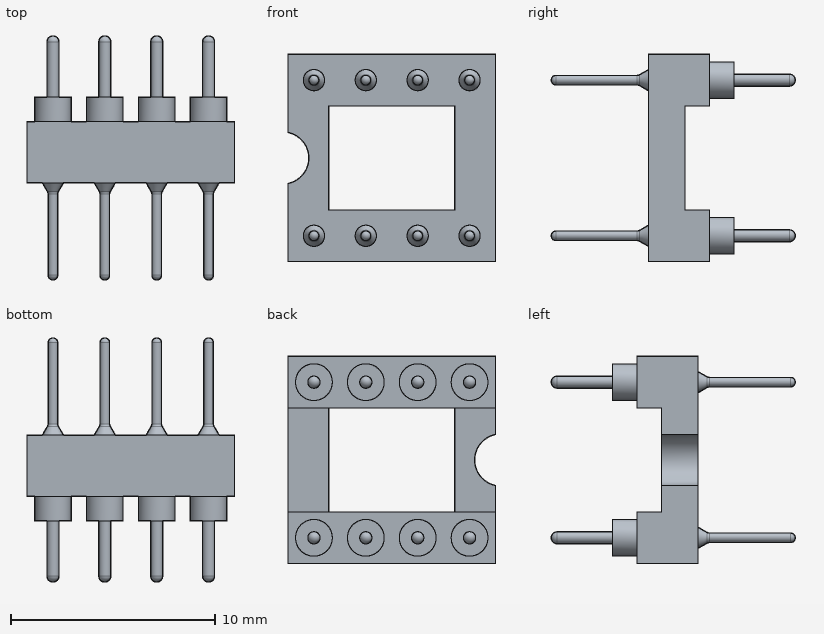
import cadquery as cq
import math

PITCH = 2.54
PINS_PER_ROW = 4
ROW_SPACING = 3 * PITCH

FRAME_SIZE = PINS_PER_ROW * PITCH
FRAME_DEPTH = 3.0
BRIDGE_DEPTH = 1.8
RAIL_HEIGHT = PITCH
RAIL_GAP = FRAME_SIZE - 2 * RAIL_HEIGHT
BRIDGE_WIDTH = 2.0
WINDOW_WIDTH = FRAME_SIZE - 2 * BRIDGE_WIDTH
NOTCH_RADIUS = PITCH / 2
NOTCH_DEPTH = 0.4 * PITCH

COLLAR_RADIUS = 0.9
COLLAR_LENGTH = 1.2
REAR_LEAD_RADIUS = 0.3
REAR_LEAD_LENGTH = 3.0

FRONT_LEAD_RADIUS = 0.24
CONE_RADIUS = 0.52
CONE_HALF_ANGLE = math.radians(30)
NECK_BLEND_RADIUS = 0.25
FRONT_REACH = 4.76

COLLAR_END = FRAME_DEPTH + COLLAR_LENGTH
REAR_END = COLLAR_END + REAR_LEAD_LENGTH


def box_from_front(width, depth, height):
    """Box centred in X and Z whose front face lies at Y = 0."""
    return cq.Workplane("XY").box(width, depth, height, centered=(True, False, True))


def make_frame():
    """Two full-depth rails joined by shallower bridges, with a key notch on the -X side."""
    frame = box_from_front(FRAME_SIZE, FRAME_DEPTH, FRAME_SIZE)
    rear_channel = box_from_front(FRAME_SIZE, FRAME_DEPTH - BRIDGE_DEPTH, RAIL_GAP)
    window = box_from_front(WINDOW_WIDTH, FRAME_DEPTH, RAIL_GAP)
    notch_center_x = -FRAME_SIZE / 2 + NOTCH_DEPTH - NOTCH_RADIUS
    notch = (
        cq.Workplane("XZ")
        .center(notch_center_x, 0)
        .circle(NOTCH_RADIUS)
        .extrude(-FRAME_DEPTH)
    )
    return frame.cut(rear_channel.translate((0, BRIDGE_DEPTH, 0))).cut(window).cut(notch)


def make_pin():
    """One pin on the Y axis, revolved from a half profile of (radius, Y) points."""
    front_bend = FRONT_LEAD_RADIUS * math.sqrt(0.5)
    rear_bend = REAR_LEAD_RADIUS * math.sqrt(0.5)
    front_arc_center = -FRONT_REACH + FRONT_LEAD_RADIUS
    rear_arc_center = REAR_END - REAR_LEAD_RADIUS

    cone_length = (CONE_RADIUS - FRONT_LEAD_RADIUS) / math.tan(CONE_HALF_ANGLE)
    half_angle = CONE_HALF_ANGLE / 2
    neck_start = -cone_length - NECK_BLEND_RADIUS * math.tan(half_angle)

    def neck_point(angle):
        return (
            FRONT_LEAD_RADIUS + NECK_BLEND_RADIUS * (1 - math.cos(angle)),
            neck_start + NECK_BLEND_RADIUS * math.sin(angle),
        )

    front_tip_middle = (front_bend, front_arc_center - front_bend)
    rear_tip_middle = (rear_bend, rear_arc_center + rear_bend)
    return (
        cq.Workplane("XY")
        .moveTo(0, -FRONT_REACH)
        .threePointArc(front_tip_middle, (FRONT_LEAD_RADIUS, front_arc_center))
        .lineTo(FRONT_LEAD_RADIUS, neck_start)
        .threePointArc(neck_point(half_angle), neck_point(CONE_HALF_ANGLE))
        .lineTo(CONE_RADIUS, 0)
        .lineTo(COLLAR_RADIUS, FRAME_DEPTH)
        .lineTo(COLLAR_RADIUS, COLLAR_END)
        .lineTo(REAR_LEAD_RADIUS, COLLAR_END)
        .lineTo(REAR_LEAD_RADIUS, rear_arc_center)
        .threePointArc(rear_tip_middle, (0, REAR_END))
        .close()
        .revolve(360, (0, 0, 0), (0, 1, 0))
    )


def make_socket():
    """Frame joined with two rows of pins."""
    socket = make_frame()
    pin = make_pin()
    for pin_z in (-ROW_SPACING / 2, ROW_SPACING / 2):
        for column in range(PINS_PER_ROW):
            pin_x = (column - (PINS_PER_ROW - 1) / 2) * PITCH
            socket = socket.union(pin.translate((pin_x, 0, pin_z)))
    return socket


result = make_socket()